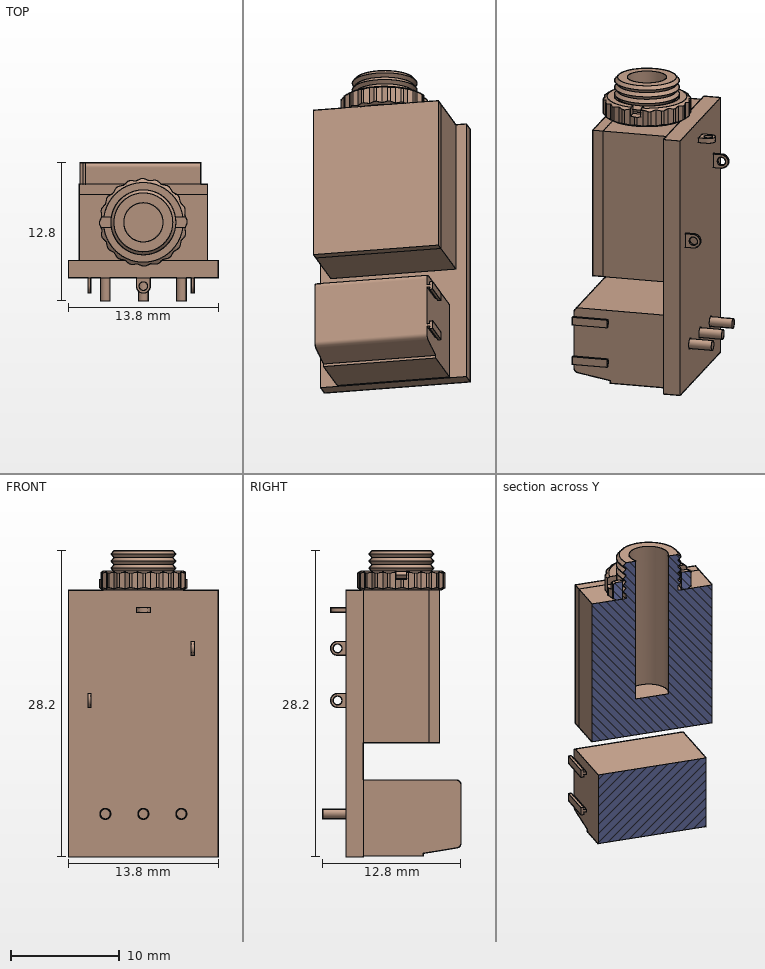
import cadquery as cq
import math


BOARD_WIDTH = 13.8
BOARD_HEIGHT = 24.55
BOARD_THICKNESS = 1.6

JACK_WIDTH = 11.82
JACK_HEIGHT = 14.05
HOUSING_DEPTH = 6.03
COVER_DEPTH = 1.0
JACK_BOTTOM = BOARD_HEIGHT - JACK_HEIGHT

TOTAL_HEIGHT = 28.2
AXIS_Y = 3.5
CREST_RADIUS = 3.0
ROOT_RADIUS = 2.7
THREAD_PITCH = 0.65
THREAD_RIDGES = 5
BORE_RADIUS = 1.8
BORE_DEPTH = 14.0

NUT_RADIUS = 4.03
NUT_VALLEY_RADIUS = 3.85
NUT_HEIGHT = 1.78
NUT_TEETH = 20
NUT_TURN = 1.0
NUT_TIP_ANGLE = 3.4
NUT_CHAMFER_WIDTH = 0.37
NUT_CHAMFER_HEIGHT = 0.23
SPANNER_SLOT_WIDTH = 1.0
SPANNER_SLOT_DEPTH = 0.8

LUG_WIDTH = 1.3
LUG_REACH = 1.4
LUG_HOLE_RADIUS = 0.4
FLAT_LUG_THICKNESS = 0.45
UPRIGHT_LUG_THICKNESS = 0.28
LUGS = [(0, 22.73, True), (4.55, 19.2, False), (-4.95, 14.4, False)]

BLOCK_WIDTH = 10.6
BLOCK_DEPTH = 9.0
BLOCK_BOTTOM = 0.08
BLOCK_TOP = 7.1
BLOCK_STEP_Y = 5.53
SLOPE_LOW_Z = 0.35
SLOPE_HIGH_Z = 0.9
BLOCK_FILLET = 0.48

RIB_LENGTH = 3.33
RIB_REACH = 0.54
RIB_HEIGHT = 0.73
RIB_FLANGE = 0.28
RIB_NECK = 0.25
RIB_CENTRES_Z = [2.15, 5.95]

PIN_RADIUS = 0.45
PIN_HOLE_RADIUS = 0.5
PIN_REACH = 2.15
PIN_PITCH = 3.5
PIN_Z = 3.98
PIN_XS = [-PIN_PITCH, 0, PIN_PITCH]


def box(x_range, y_range, z_range):
    """Axis-aligned box between the given limits."""
    (x0, x1), (y0, y1), (z0, z1) = x_range, y_range, z_range
    return cq.Workplane("XY").box(x1 - x0, y1 - y0, z1 - z0, centered=False).translate((x0, y0, z0))


def centred(middle, size):
    """Limits of a span of the given size about its middle."""
    return (middle - size / 2, middle + size / 2)


def rod(x, z, radius, length):
    """Cylinder running from the jack face of the board in the -Y direction."""
    return cq.Workplane("XZ").center(x, z).circle(radius).extrude(length)


def lug(x, z, lies_flat):
    """Round-ended lug with an eye, running through the board."""
    eye_distance = BOARD_THICKNESS + LUG_REACH - LUG_WIDTH / 2
    thickness = FLAT_LUG_THICKNESS if lies_flat else UPRIGHT_LUG_THICKNESS
    strap = (
        cq.Workplane("XY")
        .moveTo(-LUG_WIDTH / 2, 0)
        .lineTo(-LUG_WIDTH / 2, -eye_distance)
        .threePointArc((0, -eye_distance - LUG_WIDTH / 2), (LUG_WIDTH / 2, -eye_distance))
        .lineTo(LUG_WIDTH / 2, 0)
        .close()
        .extrude(thickness / 2, both=True)
    )
    eye = cq.Workplane("XY").center(0, -eye_distance).circle(LUG_HOLE_RADIUS).extrude(thickness, both=True)
    blank = strap.cut(eye)
    if not lies_flat:
        blank = blank.rotate((0, 0, 0), (0, 1, 0), 90)
    return blank.translate((x, 0, z))


def lug_slot(x, z, lies_flat):
    """Slot through the board that fits one lug."""
    if lies_flat:
        size_x, size_z = LUG_WIDTH, FLAT_LUG_THICKNESS
    else:
        size_x, size_z = UPRIGHT_LUG_THICKNESS, LUG_WIDTH
    return box(centred(x, size_x), (-BOARD_THICKNESS, 0), centred(z, size_z))


def make_board():
    board = box(centred(0, BOARD_WIDTH), (-BOARD_THICKNESS, 0), (0, BOARD_HEIGHT))
    for x in PIN_XS:
        board = board.cut(rod(x, PIN_Z, PIN_HOLE_RADIUS, BOARD_THICKNESS))
    for place in LUGS:
        board = board.cut(lug_slot(*place))
    return board


def make_barrel():
    """Barrel with ring-shaped thread ridges, above a plain neck."""
    profile = cq.Workplane("XZ").moveTo(0, BOARD_HEIGHT).lineTo(0, TOTAL_HEIGHT)
    profile = profile.lineTo(ROOT_RADIUS, TOTAL_HEIGHT)
    for ridge in range(THREAD_RIDGES):
        ridge_top = TOTAL_HEIGHT - ridge * THREAD_PITCH
        profile = profile.lineTo(CREST_RADIUS, ridge_top - THREAD_PITCH / 2)
        profile = profile.lineTo(ROOT_RADIUS, ridge_top - THREAD_PITCH)
    profile = profile.lineTo(ROOT_RADIUS, BOARD_HEIGHT).close()
    return profile.revolve(360, (0, 0), (0, 1)).translate((0, AXIS_Y, 0))


def make_housing():
    block = box(centred(0, JACK_WIDTH), (0, HOUSING_DEPTH), (JACK_BOTTOM, BOARD_HEIGHT))
    housing = block.union(make_barrel())
    bore = (
        cq.Workplane("XY", origin=(0, AXIS_Y, TOTAL_HEIGHT - BORE_DEPTH))
        .circle(BORE_RADIUS)
        .extrude(BORE_DEPTH)
    )
    housing = housing.cut(bore)
    for place in LUGS:
        housing = housing.union(lug(*place))
    return housing


def make_cover():
    return box(
        centred(0, JACK_WIDTH),
        (HOUSING_DEPTH, HOUSING_DEPTH + COVER_DEPTH),
        (JACK_BOTTOM, BOARD_HEIGHT),
    )


def polar(radius, degrees):
    angle = math.radians(degrees)
    return (radius * math.cos(angle), radius * math.sin(angle))


def make_nut():
    tooth_angle = 360 / NUT_TEETH
    outline = []
    for tooth in range(NUT_TEETH):
        tip = NUT_TURN + tooth * tooth_angle
        outline.append(polar(NUT_VALLEY_RADIUS, tip - tooth_angle / 2))
        outline.append(polar(NUT_RADIUS, tip - NUT_TIP_ANGLE / 2))
        outline.append(polar(NUT_RADIUS, tip + NUT_TIP_ANGLE / 2))
    toothed = cq.Workplane("XY").polyline(outline).close().extrude(NUT_HEIGHT)

    envelope = cq.Workplane("XY").circle(NUT_RADIUS).extrude(NUT_HEIGHT)
    envelope = envelope.faces("<Z or >Z").edges().chamfer(NUT_CHAMFER_HEIGHT, NUT_CHAMFER_WIDTH)
    nut = toothed.intersect(envelope)

    nut = nut.cut(cq.Workplane("XY").circle(CREST_RADIUS).extrude(NUT_HEIGHT))
    slot = box(
        centred(0, 2 * NUT_RADIUS),
        centred(0, SPANNER_SLOT_WIDTH),
        (NUT_HEIGHT - SPANNER_SLOT_DEPTH, NUT_HEIGHT),
    )
    return nut.cut(slot).translate((0, AXIS_Y, BOARD_HEIGHT))


def make_rib(z):
    """T-section rib: a neck on the block's side and a flange outside it."""
    side_x = -BLOCK_WIDTH / 2
    outer_x = side_x - RIB_REACH
    y_range = (BLOCK_DEPTH - RIB_LENGTH, BLOCK_DEPTH)
    flange = box((outer_x, outer_x + RIB_FLANGE), y_range, centred(z, RIB_HEIGHT))
    neck = box((outer_x + RIB_FLANGE, side_x), y_range, centred(z, RIB_NECK))
    return flange.union(neck)


def make_connector():
    side_outline = [
        (0, BLOCK_BOTTOM),
        (BLOCK_STEP_Y, BLOCK_BOTTOM),
        (BLOCK_STEP_Y, SLOPE_LOW_Z),
        (BLOCK_DEPTH, SLOPE_HIGH_Z),
        (BLOCK_DEPTH, BLOCK_TOP),
        (0, BLOCK_TOP),
    ]
    connector = cq.Workplane("YZ").polyline(side_outline).close().extrude(BLOCK_WIDTH / 2, both=True)
    connector = connector.faces(">Y").edges("|X").fillet(BLOCK_FILLET)
    for z in RIB_CENTRES_Z:
        connector = connector.union(make_rib(z))
    for x in PIN_XS:
        connector = connector.union(rod(x, PIN_Z, PIN_RADIUS, BOARD_THICKNESS + PIN_REACH))
    return connector


board = make_board()
housing = make_housing()
cover = make_cover()
nut = make_nut()
connector = make_connector()

bodies = [board, housing, cover, nut, connector]
result = cq.Compound.makeCompound([body.solids().val() for body in bodies])